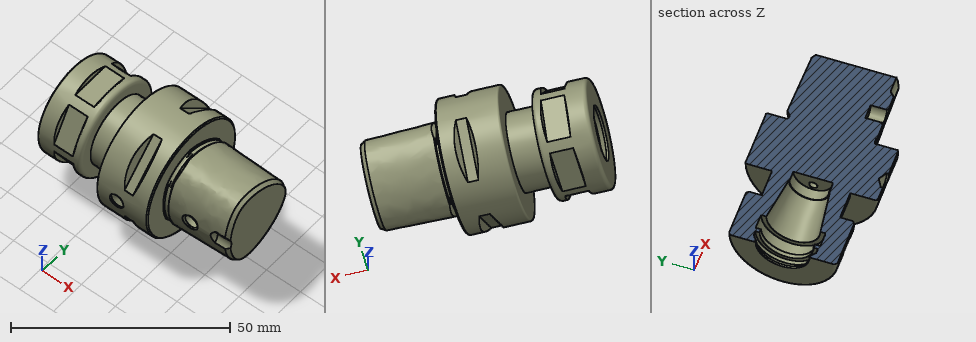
import cadquery as cq
import math


TOTAL_LENGTH = 54.0
NUT_END = 12.95
FLANGE_START = 20.0
FLANGE_END = 35.0

NUT_DIAMETER = 26.3
NUT_EDGE_RADIUS = 0.95
NECK_DIAMETER = 19.0
FLANGE_DIAMETER = 32.0
FLANGE_FRONT_RADIUS = 0.5
FLANGE_REAR_CHAMFER = 0.3

NUT_FLAT_COUNT = 6
NUT_FLAT_HEIGHT = 12.0
NUT_FLAT_LENGTH = 5.5
NUT_FLAT_CENTER = 7.9
NUT_FLAT_SPREAD = 0.3

FLANGE_FLAT_COUNT = 4
FLANGE_FLAT_HEIGHT = 14.2
FLANGE_FLAT_LENGTH = 2.5
FLANGE_FLAT_CENTER = 28.95
FLANGE_FLAT_SPREAD = 1.15

MOUTH_DIAMETER = 13.0
LIP_LENGTH = 0.55
FRONT_GROOVE_DIAMETER = 15.0
FRONT_GROOVE_START = 1.85
FRONT_GROOVE_END = 2.85
REAR_GROOVE_DIAMETER = 15.5
REAR_GROOVE_START = 3.95
TAPER_START = 7.55
TAPER_END_DIAMETER = 9.9
TAPER_HALF_ANGLE = 8.0
PILOT_DIAMETER = 9.5
PILOT_LENGTH = 2.7

DRILL_HALF_ANGLE = 59.0

FLOOR_HOLE_DIAMETER = 2.0
FLOOR_HOLE_OFFSET = 3.0
FLOOR_HOLE_DEPTH = 4.3

SHANK_RADIUS = 11.0
LOBE_HEIGHT = 0.7
SHANK_TAPER_RATIO = 1 / 40
SHANK_CHAMFER_LENGTH = 1.15
SHANK_CHAMFER_INSET = 0.65
PROFILE_POINTS = 48

GROOVE_ROOT_END = 35.3
GROOVE_WALL_START = 36.4
GROOVE_END = 36.6
GROOVE_INSET = 0.2
GROOVE_LOBE_RADIUS = 10.8
LOBE_ROOT_END = 35.55
LOBE_ROOT_RISE = 0.15
LOBE_RELIEF_START = 36.05
LOBE_RELIEF_HEIGHT = 1.6

DIMPLE_DIAMETER = 4.0
DIMPLE_X = 26.0
DIMPLE_WALL = 0.55
CLAMP_HOLE_DIAMETER = 3.6
CLAMP_HOLE_RIM_DIAMETER = 4.5
CLAMP_HOLE_X = 42.9
CLAMP_HOLE_DEPTH = 4.3
KEYWAY_DIAMETER = 5.1
KEYWAY_WALL_START = 49.9
KEYWAY_AXIS_Y = -11.4


def cylinder(diameter, start, end):
    """Round bar along X between two stations."""
    return cq.Workplane("YZ", origin=(start, 0, 0)).circle(diameter / 2).extrude(end - start)


def revolve_about_x(points):
    """Solid of revolution about X from (x, radius) points."""
    return cq.Workplane("XY").polyline(points).close().revolve(360, (0, 0, 0), (1, 0, 0))


def lobed_section(x, inset):
    """Closed three-lobed curve at station x, its mean radius reduced by inset."""
    mean_radius = SHANK_RADIUS - inset
    points = []
    for index in range(PROFILE_POINTS):
        angle = 2 * math.pi * index / PROFILE_POINTS
        across = (mean_radius * math.cos(angle) + 2 * LOBE_HEIGHT * math.cos(2 * angle)
                  - LOBE_HEIGHT * math.cos(4 * angle))
        up = (mean_radius * math.sin(angle) - 2 * LOBE_HEIGHT * math.sin(2 * angle)
              - LOBE_HEIGHT * math.sin(4 * angle))
        points.append(cq.Vector(x, across, up))
    return cq.Wire.assembleEdges([cq.Edge.makeSpline(points, periodic=True)])


def lobed_body(start, start_inset, end, end_inset):
    """Straight-sided body between two lobed sections."""
    sections = [lobed_section(start, start_inset), lobed_section(end, end_inset)]
    return cq.Workplane(obj=cq.Solid.makeLoft(sections, True))


def make_nut():
    nut = cylinder(NUT_DIAMETER, 0, NUT_END)
    return nut.faces("<X or >X").edges().fillet(NUT_EDGE_RADIUS)


def make_flange():
    flange = cylinder(FLANGE_DIAMETER, FLANGE_START, FLANGE_END)
    flange = flange.faces("<X").edges().fillet(FLANGE_FRONT_RADIUS)
    return flange.faces(">X").edges().chamfer(FLANGE_REAR_CHAMFER)


def make_shank():
    chamfer_start = TOTAL_LENGTH - SHANK_CHAMFER_LENGTH
    taper_inset = (chamfer_start - GROOVE_END) * SHANK_TAPER_RATIO
    root = lobed_body(FLANGE_END, 0, GROOVE_ROOT_END, GROOVE_INSET)
    groove = lobed_body(GROOVE_ROOT_END, GROOVE_INSET, GROOVE_WALL_START, GROOVE_INSET)
    groove_wall = lobed_body(GROOVE_WALL_START, GROOVE_INSET, GROOVE_END, 0)
    taper = lobed_body(GROOVE_END, 0, chamfer_start, taper_inset)
    tip = lobed_body(chamfer_start, taper_inset, TOTAL_LENGTH, taper_inset + SHANK_CHAMFER_INSET)
    relief_top = GROOVE_LOBE_RADIUS + LOBE_RELIEF_HEIGHT
    envelope = revolve_about_x([
        (FLANGE_END, 0),
        (FLANGE_END, GROOVE_LOBE_RADIUS + LOBE_ROOT_RISE),
        (LOBE_ROOT_END, GROOVE_LOBE_RADIUS),
        (LOBE_RELIEF_START, GROOVE_LOBE_RADIUS),
        (LOBE_RELIEF_START + LOBE_RELIEF_HEIGHT, relief_top),
        (TOTAL_LENGTH, relief_top),
        (TOTAL_LENGTH, 0),
    ])
    return root.union(groove).union(groove_wall).union(taper).union(tip).intersect(envelope)


def flat_cutters(count, first_angle, height, length, center, spread, body_diameter):
    """Flared slots around X that leave flats at the given height."""
    outer = body_diameter / 2
    profile = [
        (center - length / 2, height),
        (center + length / 2, height),
        (center + length / 2 + spread, outer),
        (center + length / 2 + spread, body_diameter),
        (center - length / 2 - spread, body_diameter),
        (center - length / 2 - spread, outer),
    ]
    slot = cq.Workplane("XZ").polyline(profile).close().extrude(outer, both=True)
    cutters = cq.Workplane()
    for index in range(count):
        angle = first_angle + 360 / count * index
        cutters = cutters.add(slot.rotate((0, 0, 0), (1, 0, 0), angle))
    return cutters.combine()


def make_bore():
    mouth = MOUTH_DIAMETER / 2
    taper_end = TAPER_END_DIAMETER / 2
    taper_end_x = TAPER_START + (mouth - taper_end) / math.tan(math.radians(TAPER_HALF_ANGLE))
    floor_x = taper_end_x + PILOT_LENGTH
    bore = revolve_about_x([
        (0, 0),
        (0, mouth),
        (LIP_LENGTH, mouth),
        (FRONT_GROOVE_START, FRONT_GROOVE_DIAMETER / 2),
        (FRONT_GROOVE_END, FRONT_GROOVE_DIAMETER / 2),
        (FRONT_GROOVE_END, mouth),
        (REAR_GROOVE_START, mouth),
        (REAR_GROOVE_START, REAR_GROOVE_DIAMETER / 2),
        (TAPER_START, REAR_GROOVE_DIAMETER / 2),
        (TAPER_START, mouth),
        (taper_end_x, taper_end),
        (taper_end_x, PILOT_DIAMETER / 2),
        (floor_x, PILOT_DIAMETER / 2),
        (floor_x, 0),
    ])
    cone_slope = math.tan(math.radians(DRILL_HALF_ANGLE))
    cone_length = FLOOR_HOLE_DEPTH + FLOOR_HOLE_OFFSET / cone_slope
    end_cone = revolve_about_x([
        (floor_x, 0),
        (floor_x, cone_length * cone_slope),
        (floor_x + cone_length, 0),
    ])
    holes = cq.Workplane("YZ", origin=(floor_x, 0, 0))
    holes = holes.pushPoints([(0, FLOOR_HOLE_OFFSET), (0, -FLOOR_HOLE_OFFSET)])
    holes = holes.circle(FLOOR_HOLE_DIAMETER / 2).extrude(cone_length)
    return bore.union(holes.intersect(end_cone))


def make_dimple():
    """Drilled dimple in the flange rim."""
    radius = DIMPLE_DIAMETER / 2
    rim_y = -FLANGE_DIAMETER / 2
    wall_end_y = rim_y + DIMPLE_WALL
    tip_length = radius / math.tan(math.radians(DRILL_HALF_ANGLE))
    profile = [
        (DIMPLE_X, rim_y),
        (DIMPLE_X + radius, rim_y),
        (DIMPLE_X + radius, wall_end_y),
        (DIMPLE_X, wall_end_y + tip_length),
    ]
    return cq.Workplane("XY").polyline(profile).close().revolve(360, (DIMPLE_X, 0, 0), (DIMPLE_X, 1, 0))


def make_clamp_hole():
    """Countersunk blind hole in the low side of the shank."""
    radius = CLAMP_HOLE_DIAMETER / 2
    rim_radius = CLAMP_HOLE_RIM_DIAMETER / 2
    surface_y = LOBE_HEIGHT - SHANK_RADIUS + (CLAMP_HOLE_X - GROOVE_END) * SHANK_TAPER_RATIO
    sink_end_y = surface_y + rim_radius - radius
    profile = [
        (CLAMP_HOLE_X, -SHANK_RADIUS),
        (CLAMP_HOLE_X + rim_radius, -SHANK_RADIUS),
        (CLAMP_HOLE_X + rim_radius, surface_y),
        (CLAMP_HOLE_X + radius, sink_end_y),
        (CLAMP_HOLE_X + radius, surface_y + CLAMP_HOLE_DEPTH),
        (CLAMP_HOLE_X, surface_y + CLAMP_HOLE_DEPTH),
    ]
    return cq.Workplane("XY").polyline(profile).close().revolve(
        360, (CLAMP_HOLE_X, 0, 0), (CLAMP_HOLE_X, 1, 0))


def make_keyway():
    """Shallow round groove along the shank, with a 45 degree conical end, open at the tip."""
    radius = KEYWAY_DIAMETER / 2
    groove = revolve_about_x([
        (KEYWAY_WALL_START - radius, 0),
        (KEYWAY_WALL_START, radius),
        (TOTAL_LENGTH, radius),
        (TOTAL_LENGTH, 0),
    ])
    return groove.translate((0, KEYWAY_AXIS_Y, 0))


nut_flats = flat_cutters(NUT_FLAT_COUNT, 0, NUT_FLAT_HEIGHT, NUT_FLAT_LENGTH,
                         NUT_FLAT_CENTER, NUT_FLAT_SPREAD, NUT_DIAMETER)
flange_flats = flat_cutters(FLANGE_FLAT_COUNT, 180 / FLANGE_FLAT_COUNT, FLANGE_FLAT_HEIGHT,
                            FLANGE_FLAT_LENGTH, FLANGE_FLAT_CENTER, FLANGE_FLAT_SPREAD, FLANGE_DIAMETER)

nut = make_nut().cut(nut_flats)
neck = cylinder(NECK_DIAMETER, NUT_END, FLANGE_START)
flange = make_flange().cut(flange_flats).cut(make_dimple())
shank = make_shank().cut(make_clamp_hole()).cut(make_keyway())
result = nut.union(neck).union(flange).union(shank).cut(make_bore())